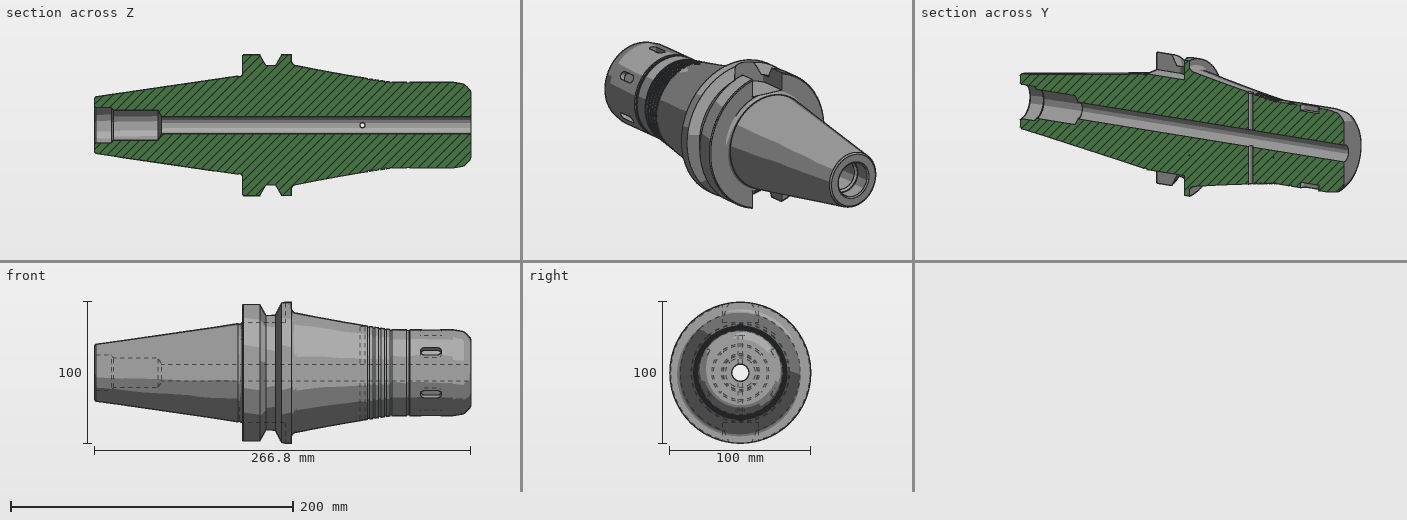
import cadquery as cq
import math


gauge_radius = 69.85 / 2
shank_end_x = -101.8
taper_slope = 7 / 48
shank_end_radius = gauge_radius + shank_end_x * taper_slope
shank_chamfer = 1.0
taper_end_x = -0.3
neck_radius = 68.9 / 2
neck_fillet = 2.0

flange_radius = 100 / 2
flange_start_x = 3.0
flange_end_x = 37.6
front_rim_chamfer = 0.7
vee_center_x = 23.0
vee_floor_radius = 85 / 2
vee_floor_width = 6.8
vee_wall_slope = math.tan(math.radians(30))
vee_start_x = vee_center_x - vee_floor_width / 2
vee_end_x = vee_center_x + vee_floor_width / 2
vee_wall_run = (flange_radius - vee_floor_radius) * vee_wall_slope

key_width = 25.4
key_floor_z = 35.4
key_end_x = 33.4
key_start_x = taper_end_x

body_fillet = 4.0
body_start_x = flange_end_x + body_fillet
body_start_radius = 42.2
barrel_start_x = 109.0
barrel_radius = 61 / 2
body_waist = 0.5

grip_count = 5
grip_pitch = 4.0
grip_width = 1.5
grip_depth = 0.5
grip_start_x = barrel_start_x - grip_width - (grip_count - 1) * grip_pitch

nut_gap_x = 119.2
nut_gap_width = 1.8
nut_gap_radius = 60 / 2
nut_start_x = nut_gap_x + nut_gap_width
nut_chamfer = 0.8

nose_taper_x = 152.2
nose_shoulder_x = 158.6
nose_shoulder_radius = 29.4
bevel_start_x = 161.0
bevel_start_radius = 28.1
bevel_end_x = 163.5
bevel_end_radius = bevel_start_radius - (bevel_end_x - bevel_start_x)
nose_end_x = 165.0
nose_round = (nose_end_x - bevel_end_x) / (1 - math.sqrt(0.5))
nose_end_radius = bevel_end_radius - nose_round * math.sqrt(0.5)

spanner_count = 6
spanner_x = 136.5
spanner_length = 14.8
spanner_width = 6.0
spanner_depth = 4.0

cross_hole_x = 88.0
cross_hole_diameter = 3.4
cross_mouth_diameter = 4.0
cross_mouth_depth = 1.0

mouth_radius = 27 / 2
pilot_radius = 25 / 2
pilot_depth = 12.0
thread_mouth_radius = 24 / 2
thread_radius = 21 / 2
thread_depth = 45.0
through_radius = 12 / 2
drill_point_angle = 60
drill_point_length = (thread_radius - through_radius) / math.tan(math.radians(drill_point_angle))

axis_start = (0, 0, 0)
axis_end = (1, 0, 0)


def body_curve_radius(x):
    """Radius of the waisted body at x, measured on its circular-arc outline."""
    run = barrel_start_x - body_start_x
    drop = body_start_radius - barrel_radius
    chord = math.hypot(run, drop)
    arc_radius = chord**2 / (8 * body_waist) + body_waist / 2
    center_offset = arc_radius - body_waist
    center_x = (body_start_x + barrel_start_x) / 2 + center_offset * drop / chord
    center_r = (body_start_radius + barrel_radius) / 2 + center_offset * run / chord
    return center_r - math.sqrt(arc_radius**2 - (x - center_x) ** 2)


def make_turned_body():
    """Solid of revolution without grooves, keyways, slots or bores."""
    arc_gap = 1 - math.sqrt(0.5)
    body_middle_x = (body_start_x + barrel_start_x) / 2
    profile = (
        cq.Workplane("XY")
        .moveTo(shank_end_x, 0)
        .lineTo(shank_end_x, shank_end_radius - shank_chamfer)
        .lineTo(shank_end_x + shank_chamfer, shank_end_radius + shank_chamfer * taper_slope)
        .lineTo(taper_end_x, gauge_radius + taper_end_x * taper_slope)
        .lineTo(taper_end_x, neck_radius)
        .lineTo(flange_start_x - neck_fillet, neck_radius)
        .threePointArc(
            (flange_start_x - neck_fillet * arc_gap, neck_radius + neck_fillet * arc_gap),
            (flange_start_x, neck_radius + neck_fillet),
        )
        .lineTo(flange_start_x, flange_radius - front_rim_chamfer)
        .lineTo(flange_start_x + front_rim_chamfer, flange_radius)
        .lineTo(vee_start_x - vee_wall_run, flange_radius)
        .lineTo(vee_start_x, vee_floor_radius)
        .lineTo(vee_end_x, vee_floor_radius)
        .lineTo(vee_end_x + vee_wall_run, flange_radius)
        .lineTo(flange_end_x, flange_radius)
        .lineTo(flange_end_x, body_start_radius + body_fillet)
        .threePointArc(
            (flange_end_x + body_fillet * arc_gap, body_start_radius + body_fillet * arc_gap),
            (body_start_x, body_start_radius),
        )
        .threePointArc(
            (body_middle_x, body_curve_radius(body_middle_x)),
            (barrel_start_x, barrel_radius),
        )
        .lineTo(nut_start_x, barrel_radius)
        .lineTo(nut_start_x, barrel_radius - nut_chamfer)
        .lineTo(nut_start_x + nut_chamfer, barrel_radius)
        .lineTo(nose_taper_x, barrel_radius)
        .lineTo(nose_shoulder_x, nose_shoulder_radius)
        .tangentArcPoint((bevel_start_x, bevel_start_radius), relative=False)
        .lineTo(bevel_end_x, bevel_end_radius)
        .tangentArcPoint((nose_end_x, nose_end_radius), relative=False)
        .lineTo(nose_end_x, 0)
        .close()
    )
    return profile.revolve(360, axis_start, axis_end)


def make_groove(start_x, width, floor_radius):
    """Ring that cuts a square groove down to floor_radius."""
    return (
        cq.Workplane("YZ", origin=(start_x, 0, 0))
        .circle(flange_radius)
        .circle(floor_radius)
        .extrude(width)
    )


def cut_grooves(part):
    for index in range(grip_count):
        start_x = grip_start_x + index * grip_pitch
        floor_radius = body_curve_radius(start_x + grip_width) - grip_depth
        part = part.cut(make_groove(start_x, grip_width, floor_radius))
    return part.cut(make_groove(nut_gap_x, nut_gap_width, nut_gap_radius))


def cut_keyways(part):
    """Two opposite flat-floored keyways with a full-round rear end."""
    round_center_x = key_end_x - key_width / 2
    cutter = (
        cq.Workplane("XY", origin=(0, 0, key_floor_z))
        .moveTo(key_start_x, -key_width / 2)
        .lineTo(round_center_x, -key_width / 2)
        .threePointArc((key_end_x, 0), (round_center_x, key_width / 2))
        .lineTo(key_start_x, key_width / 2)
        .close()
        .extrude(flange_radius)
    )
    return part.cut(cutter).cut(cutter.rotate(axis_start, axis_end, 180))


def cut_spanner_slots(part):
    cutter = (
        cq.Workplane("XY", origin=(spanner_x, 0, barrel_radius - spanner_depth))
        .slot2D(spanner_length, spanner_width)
        .extrude(2 * spanner_depth)
    )
    for index in range(spanner_count):
        angle = index * 360 / spanner_count
        part = part.cut(cutter.rotate(axis_start, axis_end, angle))
    return part


def cut_cross_hole(part):
    surface_z = body_curve_radius(cross_hole_x)
    hole = (
        cq.Workplane("XY", origin=(cross_hole_x, 0, -flange_radius))
        .circle(cross_hole_diameter / 2)
        .extrude(2 * flange_radius)
    )
    mouth = (
        cq.Workplane("XY", origin=(cross_hole_x, 0, surface_z - cross_mouth_depth))
        .circle(cross_mouth_diameter / 2)
        .extrude(2 * cross_mouth_depth)
    )
    return part.cut(hole).cut(mouth)


def cut_bore(part):
    """Chamfered pilot, threaded section at its core size, drill point and through hole."""
    pilot_end_x = shank_end_x + pilot_depth
    thread_end_x = shank_end_x + thread_depth
    bore = (
        cq.Workplane("XY")
        .moveTo(shank_end_x, 0)
        .lineTo(shank_end_x, mouth_radius)
        .lineTo(shank_end_x + mouth_radius - pilot_radius, pilot_radius)
        .lineTo(pilot_end_x, pilot_radius)
        .lineTo(pilot_end_x, thread_mouth_radius)
        .lineTo(pilot_end_x + thread_mouth_radius - thread_radius, thread_radius)
        .lineTo(thread_end_x, thread_radius)
        .lineTo(thread_end_x + drill_point_length, through_radius)
        .lineTo(nose_end_x, through_radius)
        .lineTo(nose_end_x, 0)
        .close()
        .revolve(360, axis_start, axis_end)
    )
    return part.cut(bore)


result = make_turned_body()
result = cut_grooves(result)
result = cut_keyways(result)
result = cut_spanner_slots(result)
result = cut_cross_hole(result)
result = cut_bore(result)